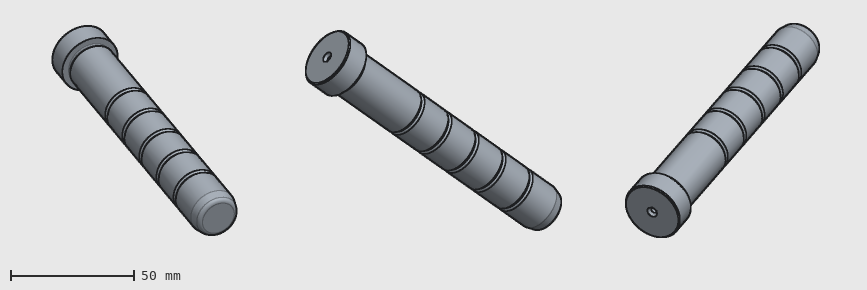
import cadquery as cq
import math

length = 130.0
head_radius = 12.5
head_length = 10.0
head_chamfer = 0.5
shaft_radius = 10.0

relief_depth = 0.6
relief_length = 2.1
relief_ramp = 0.6
relief_fillet = 0.4

groove_count = 5
groove_first = 46.0
groove_pitch = 16.0
groove_half_width = 1.0
groove_depth = 0.8

lead_start = length - 5.1
lead_angle = math.radians(15)
nose_radius = 2.0

countersink_radius = 2.2
pilot_radius = 1.3
pilot_depth = 4.7
countersink_angle = math.radians(30)
drill_tip_angle = math.radians(60)


def make_body():
    """Revolve the head, relief, shaft and lead-in about the X axis."""
    relief_radius = shaft_radius - relief_depth
    relief_end = head_length + relief_length

    nose_start = length - nose_radius * (1 - math.sin(lead_angle))
    nose_start_radius = shaft_radius - (nose_start - lead_start) * math.tan(lead_angle)
    nose_centre_radius = nose_start_radius - nose_radius * math.cos(lead_angle)
    nose_centre = length - nose_radius
    mid_angle = (math.pi / 2 - lead_angle) / 2
    nose_middle = (
        nose_centre + nose_radius * math.cos(mid_angle),
        nose_centre_radius + nose_radius * math.sin(mid_angle),
    )

    profile = (
        cq.Workplane("XY")
        .lineTo(0, head_radius - head_chamfer)
        .lineTo(head_chamfer, head_radius)
        .lineTo(head_length, head_radius)
        .lineTo(head_length, relief_radius + relief_fillet)
        .radiusArc((head_length + relief_fillet, relief_radius), -relief_fillet)
        .lineTo(relief_end - relief_ramp, relief_radius)
        .lineTo(relief_end, shaft_radius)
        .lineTo(lead_start, shaft_radius)
        .lineTo(nose_start, nose_start_radius)
        .threePointArc(nose_middle, (length, nose_centre_radius))
        .lineTo(length, 0)
        .close()
    )
    return profile.revolve(360, (0, 0, 0), (1, 0, 0))


def make_groove(centre):
    """Ring that cuts one V groove around the shaft."""
    section = cq.Workplane("XY").polyline([
        (centre - groove_half_width, shaft_radius),
        (centre, shaft_radius - groove_depth),
        (centre + groove_half_width, shaft_radius),
    ]).close()
    return section.revolve(360, (0, 0, 0), (1, 0, 0))


def make_centre_hole():
    """Countersunk pilot hole with a drill-point bottom."""
    countersink_depth = (countersink_radius - pilot_radius) / math.tan(countersink_angle)
    tip_depth = pilot_depth + pilot_radius / math.tan(drill_tip_angle)
    section = cq.Workplane("XY").polyline([
        (0, 0),
        (0, countersink_radius),
        (countersink_depth, pilot_radius),
        (pilot_depth, pilot_radius),
        (tip_depth, 0),
    ]).close()
    return section.revolve(360, (0, 0, 0), (1, 0, 0))


result = make_body().cut(make_centre_hole())
for index in range(groove_count):
    result = result.cut(make_groove(groove_first + index * groove_pitch))